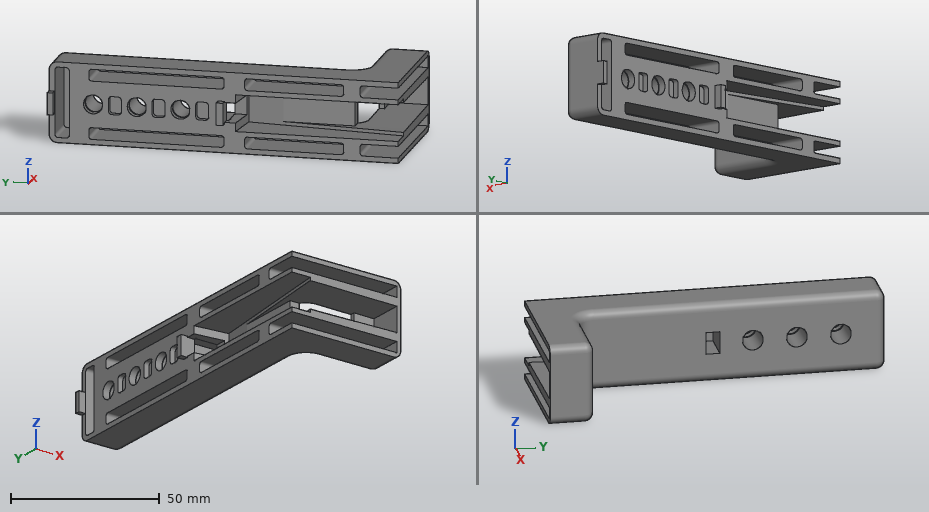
import cadquery as cq
import math


leg_length = 120.8
foot_length = 45.2
arm_depth = 15.0
height = 28.2
edge_radius = 2.9
elbow_radius = 6.0
wall = 1.7
back_wall = 1.8
slot_depth = arm_depth - wall
foot_wall_x = foot_length - wall
foot_wall_y = arm_depth - back_wall

slot_height = 4.1
slot_offset = 10.2
slot_radius = 1.1
front_rib = 5.7
middle_rib = 7.1
middle_slot_start = foot_wall_y + front_rib
middle_slot_end = 53.2
rear_slot_start = middle_slot_end + middle_rib
rear_slot_end = 107.1

end_wall = 2.0
end_pocket_start = 113.8
end_pocket_end = leg_length - end_wall
end_pocket_height = 24.5

hole_diameter = 6.5
counterbore_diameter = 7.0
hole_land = 2.9
first_hole_y = 75.4
hole_pitch = 15.1
hole_count = 3
recess_width = 4.5
recess_height = 6.3
recess_depth = 2.0
recess_radius = 1.2

pocket_half_height = 6.4
pocket_tilt = math.radians(6)
pocket_front_depth = 7.6
pocket_end_y = 56.3

channel_half_height = 5.2
channel_inner_half_height = 4.8
channel_depth = 12.1
elbow_window_y = 17.8
window_end_x = 35.3

hook_reach = 2.7
hook_height = 7.7
end_hook_width = 1.9
end_hook_start = leg_length - end_hook_width
middle_hook_start = 60.0
middle_hook_width = 2.3

hook_gap_height = 6.9
hook_gap_depth = 11.7
hook_gap_front_y = 53.2
hook_root_depth = 2.9
relief_height = hook_height
relief_overlap = 0.7
relief_start = middle_hook_start - relief_overlap
relief_end = 64.0


def box(x_range, y_range, z_size, z_center=0.0):
    """Box between two X and two Y limits, centred on a Z level."""
    x_size = x_range[1] - x_range[0]
    y_size = y_range[1] - y_range[0]
    center = (x_range[0] + x_size / 2, y_range[0] + y_size / 2, z_center)
    return cq.Workplane("XY").box(x_size, y_size, z_size).translate(center)


def cylinder_along_x(diameter, start_x, y):
    """Cylinder from an X depth out through the far side of the leg."""
    return cq.Workplane("YZ", (start_x, y, 0)).circle(diameter / 2).extrude(arm_depth - start_x)


def prism(points, half_height):
    """XY outline extruded equally to both sides of Z = 0."""
    return cq.Workplane("XY").polyline(points).close().extrude(half_height, both=True)


def make_body():
    """L-shaped block, rounded everywhere except on the mounting face and the open end."""
    outline = [
        (0, 0),
        (foot_length, 0),
        (foot_length, arm_depth),
        (arm_depth, arm_depth),
        (arm_depth, leg_length),
        (0, leg_length),
    ]
    body = prism(outline, height / 2)
    elbow = cq.selectors.NearestToPointSelector((arm_depth, arm_depth, 0))
    body = body.edges(elbow).fillet(elbow_radius)
    for corner in [(foot_length, arm_depth, 0), (arm_depth, leg_length, 0)]:
        body = body.edges(cq.selectors.NearestToPointSelector(corner)).fillet(edge_radius)
    rim = body.faces("|Z").edges("not(<X or <Y)")
    return rim.fillet(edge_radius)


def make_side_slots():
    """Three slots above and three below the centre; the front ones also hollow the foot."""
    spans = [
        (middle_slot_start, middle_slot_end),
        (rear_slot_start, rear_slot_end),
    ]
    slots = cq.Workplane("XY")
    for side in (-1, 1):
        z_center = side * slot_offset
        front = box((0, foot_wall_x), (0, foot_wall_y), slot_height, z_center)
        slots = slots.add(front.edges("|X and >Y").fillet(slot_radius))
        for span in spans:
            slot = box((0, slot_depth), span, slot_height, z_center)
            slots = slots.add(slot.edges("|X").fillet(slot_radius))
    return slots.combine()


def make_end_pocket():
    pocket = box((0, slot_depth), (end_pocket_start, end_pocket_end), end_pocket_height)
    return pocket.edges("|X").fillet(slot_radius)


def make_holes_and_recesses():
    cuts = cq.Workplane("XY")
    for index in range(hole_count):
        hole_y = first_hole_y + index * hole_pitch
        hole = cylinder_along_x(hole_diameter, 0, hole_y)
        counterbore = cylinder_along_x(counterbore_diameter, hole_land, hole_y)
        recess_y = hole_y - hole_pitch / 2
        recess_span = (recess_y - recess_width / 2, recess_y + recess_width / 2)
        recess = box((0, recess_depth), recess_span, recess_height)
        cuts = cuts.add(hole).add(counterbore).add(recess.edges("|X").fillet(recess_radius))
    return cuts.combine()


def pocket_floor_x(y):
    return pocket_front_depth + y * math.tan(pocket_tilt)


def make_tilted_pocket():
    """Pocket whose floor deepens away from the open end; its end wall is square to the floor."""
    end_wall_length = pocket_floor_x(pocket_end_y) * math.cos(pocket_tilt)
    corner_x = end_wall_length * math.cos(pocket_tilt)
    corner_y = pocket_end_y - end_wall_length * math.sin(pocket_tilt)
    outline = [
        (0, 0),
        (pocket_front_depth, 0),
        (corner_x, corner_y),
        (0, pocket_end_y),
    ]
    return prism(outline, pocket_half_height)


def make_channel():
    """Flat-floored channel and foot cavity, narrowing in Z toward the end of the foot."""
    floor_end_y = (channel_depth - pocket_front_depth) / math.tan(pocket_tilt)
    plan = [
        (0, 0),
        (foot_wall_x, 0),
        (foot_wall_x, foot_wall_y),
        (window_end_x, foot_wall_y),
        (window_end_x, elbow_window_y),
        (channel_depth, elbow_window_y),
        (channel_depth, floor_end_y),
        (0, floor_end_y),
    ]
    section = [
        (0, -channel_half_height),
        (channel_depth, -channel_half_height),
        (foot_wall_x, -channel_inner_half_height),
        (foot_wall_x, channel_inner_half_height),
        (channel_depth, channel_half_height),
        (0, channel_half_height),
    ]
    taper = cq.Workplane("XZ").polyline(section).close().extrude(-floor_end_y)
    return prism(plan, channel_half_height).intersect(taper)


def make_hook_clearance():
    """Notch from the tilted pocket to the hook, and a relief from the outer side behind it."""
    notch = box((0, hook_gap_depth), (hook_gap_front_y, middle_hook_start), hook_gap_height)
    relief = box((hook_root_depth, arm_depth), (relief_start, relief_end), relief_height)
    return notch.union(relief)


def make_hook(start, width):
    return box((-hook_reach, hook_root_depth), (start, start + width), hook_height)


result = (
    make_body()
    .cut(make_side_slots())
    .cut(make_end_pocket())
    .cut(make_holes_and_recesses())
    .cut(make_tilted_pocket())
    .cut(make_channel())
    .cut(make_hook_clearance())
    .union(make_hook(middle_hook_start, middle_hook_width))
    .union(make_hook(end_hook_start, end_hook_width))
)